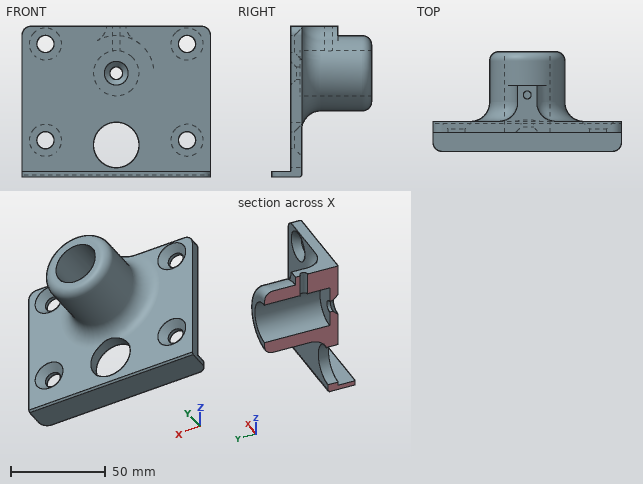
import cadquery as cq
import math

plate_width = 100.0
plate_height = 80.0
plate_thickness = 6.0
corner_radius = 5.0
heel_chamfer = 1.0

lip_depth = 10.0
lip_thickness = 3.0

boss_radius = 20.0
boss_z = 55.0
boss_end_y = 43.0
boss_edge_radius = 5.0
blend_radius = 10.0
blend_end_y = plate_thickness + blend_radius

rib_width = 10.0
rib_end_y = 25.0

mount_hole_diameter = 9.0
mount_head_diameter = 17.0
mount_spacing_x = 75.0
mount_low_z = 19.5
mount_spacing_z = 51.0
window_diameter = 24.0
window_z = 17.0
screw_diameter = 6.6
screw_head_diameter = 12.6
socket_diameter = 24.0
socket_floor_y = 5.0
pin_diameter = 4.2
pin_y = 20.0


def cylinder_y(x, z, diameter, start_y, end_y):
    """Cylinder parallel to Y between two Y positions."""
    return cq.Workplane("XY").add(
        cq.Solid.makeCylinder(
            diameter / 2, end_y - start_y, cq.Vector(x, start_y, z), cq.Vector(0, 1, 0)
        )
    )


def countersink(x, z, face_y, direction_y, head_diameter, hole_diameter):
    """90 degree cone narrowing from a face on Y towards the given Y direction."""
    depth = (head_diameter - hole_diameter) / 2
    return cq.Workplane("XY").add(
        cq.Solid.makeCone(
            head_diameter / 2,
            hole_diameter / 2,
            depth,
            cq.Vector(x, face_y, z),
            cq.Vector(0, direction_y, 0),
        )
    )


def make_plate():
    plate = cq.Workplane("XY").box(
        plate_width, plate_thickness, plate_height, centered=(True, False, False)
    )
    plate = plate.edges("|Y and >Z").fillet(corner_radius)
    plate = plate.edges(">Y and <Z").chamfer(heel_chamfer)
    lip = (
        cq.Workplane("XY")
        .box(plate_width, lip_depth, lip_thickness, centered=(True, False, False))
        .translate((0, -lip_depth, 0))
        .edges("|Z and <Y")
        .fillet(corner_radius)
    )
    return plate.union(lip)


def make_boss():
    """Revolved boss with a rounded end and a flared foot, trimmed at the plate top."""
    diagonal = math.sqrt(0.5)
    foot_radius = boss_radius + blend_radius
    profile = (
        cq.Workplane("XY")
        .moveTo(0, 0)
        .lineTo(foot_radius, 0)
        .lineTo(foot_radius, plate_thickness)
        .threePointArc(
            (foot_radius - blend_radius * diagonal, blend_end_y - blend_radius * diagonal),
            (boss_radius, blend_end_y),
        )
        .lineTo(boss_radius, boss_end_y - boss_edge_radius)
        .threePointArc(
            (
                boss_radius - boss_edge_radius * (1 - diagonal),
                boss_end_y - boss_edge_radius * (1 - diagonal),
            ),
            (boss_radius - boss_edge_radius, boss_end_y),
        )
        .lineTo(0, boss_end_y)
        .close()
    )
    boss = profile.revolve(360, (0, 0), (0, 1)).translate((0, 0, boss_z))
    trim = cq.Workplane("XY").box(
        plate_width, boss_end_y, plate_height, centered=(True, False, False)
    )
    return boss.intersect(trim)


def make_rib():
    """Rib whose sides run tangentially into the boss and into the plate."""
    blend_x = rib_width / 2 + blend_radius
    blend_rise = math.sqrt((boss_radius + blend_radius) ** 2 - blend_x**2)
    blend_z = boss_z + blend_rise
    top_x = blend_x * (plate_height - boss_z) / blend_rise
    rib = (
        cq.Workplane("XZ")
        .polyline([(0, boss_z), (top_x, plate_height), (-top_x, plate_height)])
        .close()
        .extrude(-rib_end_y)
    )
    for x in (-blend_x, blend_x):
        side_scoop = cylinder_y(x, blend_z, 2 * blend_radius, blend_end_y, boss_end_y)
        foot_scoop = cq.Workplane("XY").sphere(blend_radius).translate((x, blend_end_y, blend_z))
        rib = rib.cut(side_scoop).cut(foot_scoop)
    return rib


def cut_holes(body):
    for x in (-mount_spacing_x / 2, mount_spacing_x / 2):
        for z in (mount_low_z, mount_low_z + mount_spacing_z):
            body = body.cut(cylinder_y(x, z, mount_hole_diameter, 0, plate_thickness))
            body = body.cut(
                countersink(x, z, plate_thickness, -1, mount_head_diameter, mount_hole_diameter)
            )

    body = body.cut(cylinder_y(0, window_z, window_diameter, 0, blend_end_y))

    body = body.cut(cylinder_y(0, boss_z, screw_diameter, 0, socket_floor_y))
    body = body.cut(countersink(0, boss_z, 0, 1, screw_head_diameter, screw_diameter))

    body = body.cut(cylinder_y(0, boss_z, socket_diameter, socket_floor_y, boss_end_y))

    pin_hole = (
        cq.Workplane("XY", origin=(0, pin_y, boss_z))
        .circle(pin_diameter / 2)
        .extrude(plate_height - boss_z)
    )
    return body.cut(pin_hole)


result = cut_holes(make_plate().union(make_boss()).union(make_rib()))